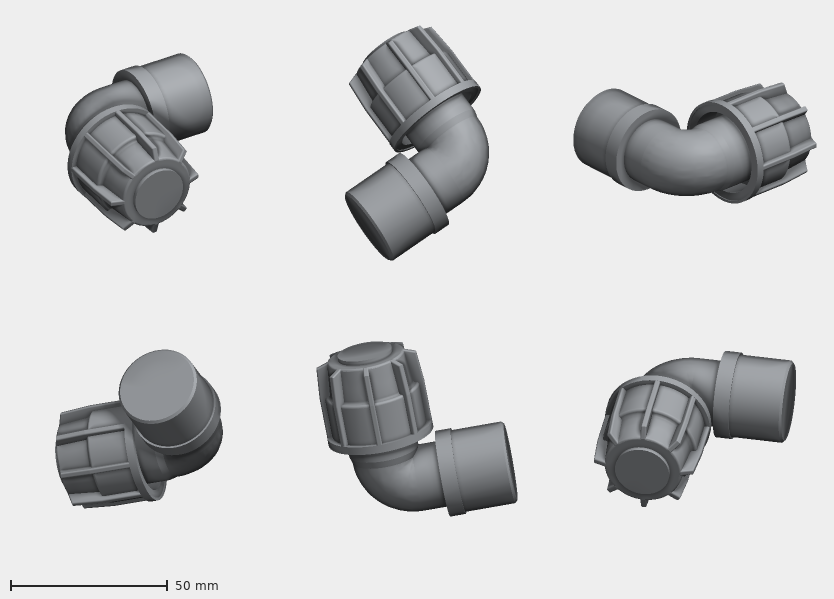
import cadquery as cq
import math


tube_radius = 21.15 / 2
bend_radius = 9.0
neck_radius = 22.4 / 2
neck_start = 11.3

collar_radius = 27.76 / 2
collar_start = 17.0
collar_end = 22.1
spigot_radius = 26.44 / 2
spigot_end = 39.0
spigot_chamfer = 0.75

flange_radius = 34.0 / 2
nut_start = 16.2
flange_end = 18.8
drum_radius = 15.3
drum_end = 32.2
drum_edge_radius = 0.9
drum_root_radius = 0.9
taper_start_radius = 13.55
taper_end_radius = 12.45
taper_edge_radius = 0.75
nut_end = 43.6
nut_bore_radius = 27.2 / 2
nut_bore_depth = 8.3
recess_radius = 32.3 / 2
recess_depth = 0.4

stub_radius = 17.6 / 2
stub_end = 45.0

rib_count = 8
rib_width = 1.85
rib_start = (nut_start + flange_end) / 2
rib_radius = 16.95
rib_edge_radius = 0.5
rib_tip_x = 42.2
rib_tip_radius = 16.15
rib_end_radius = 12.2
rib_floor_radius = 11.0


def cylinder_x(radius, start, end):
    return cq.Workplane("YZ", origin=(start, 0, 0)).circle(radius).extrude(end - start)


def cylinder_y(radius, start, end):
    return cq.Workplane("XZ", origin=(0, start, 0)).circle(radius).extrude(start - end)


def make_bend():
    """Quarter turn of the tube; the section is cut off at the turning axis, inside the tube."""
    half_chord = math.sqrt(tube_radius**2 - bend_radius**2)
    return (
        cq.Workplane("XZ", origin=(0, bend_radius, 0))
        .moveTo(bend_radius, -half_chord)
        .threePointArc((-tube_radius, 0), (bend_radius, half_chord))
        .close()
        .revolve(90, (bend_radius, 0, 0), (bend_radius, 1, 0))
    )


def make_neck():
    """Cone and straight neck that lead from the bend through the nut."""
    return (
        cq.Workplane("XY")
        .moveTo(bend_radius, 0)
        .lineTo(bend_radius, tube_radius)
        .lineTo(neck_start, neck_radius)
        .lineTo(drum_end, neck_radius)
        .lineTo(drum_end, 0)
        .close()
        .revolve(360, (0, 0, 0), (1, 0, 0))
    )


def make_spigot():
    tube = cylinder_y(tube_radius, bend_radius, collar_start)
    collar = cylinder_y(collar_radius, collar_start, collar_end)
    spigot = cylinder_y(spigot_radius, collar_end, spigot_end).faces(">Y").chamfer(spigot_chamfer)
    return tube.union(collar).union(spigot)


def round_rim(body, x, radius, fillet_radius):
    """Fillet the circular edge of a turned body that has this position and radius."""
    tolerance = 1e-3
    rim = body.edges("%CIRCLE").filter(
        lambda edge: abs(edge.Center().x - x) < tolerance and abs(edge.radius() - radius) < tolerance
    )
    return rim.fillet(fillet_radius)


def make_nut_shell():
    """Turned nut: flange, drum with a rounded shoulder, and a tapered front."""
    shell = (
        cq.Workplane("XY")
        .moveTo(nut_start, 0)
        .lineTo(nut_start, flange_radius)
        .lineTo(flange_end, flange_radius)
        .lineTo(flange_end, drum_radius)
        .lineTo(drum_end, drum_radius)
        .lineTo(drum_end, taper_start_radius)
        .lineTo(nut_end, taper_end_radius)
        .lineTo(nut_end, 0)
        .close()
        .revolve(360, (0, 0, 0), (1, 0, 0))
    )
    shell = round_rim(shell, drum_end, drum_radius, drum_edge_radius)
    shell = round_rim(shell, drum_end, taper_start_radius, drum_root_radius)
    return round_rim(shell, nut_end, taper_end_radius, taper_edge_radius)


def make_rib():
    """One grip rib on the +Z side of the nut, rounded along its crest and front end."""
    rib = (
        cq.Workplane("XZ", origin=(0, rib_width / 2, 0))
        .moveTo(rib_start, rib_floor_radius)
        .lineTo(rib_start, rib_radius)
        .lineTo(drum_end, rib_radius)
        .lineTo(rib_tip_x, rib_tip_radius)
        .lineTo(nut_end, rib_end_radius)
        .lineTo(nut_end, rib_floor_radius)
        .close()
        .extrude(rib_width)
    )
    crest = rib.edges("not |Y").filter(
        lambda edge: edge.Center().x > rib_start and edge.Center().z > rib_floor_radius
    )
    return crest.fillet(rib_edge_radius)


def make_nut():
    nut = make_nut_shell()
    for index in range(rib_count):
        angle = index * 360 / rib_count
        nut = nut.union(make_rib().rotate((0, 0, 0), (1, 0, 0), angle))
    recess = cylinder_x(recess_radius, nut_start, nut_start + recess_depth)
    bore = cylinder_x(nut_bore_radius, nut_start, nut_start + nut_bore_depth)
    return nut.cut(recess).cut(bore)


stub = cylinder_x(stub_radius, drum_end, stub_end)
result = make_bend().union(make_neck()).union(make_spigot()).union(make_nut()).union(stub)